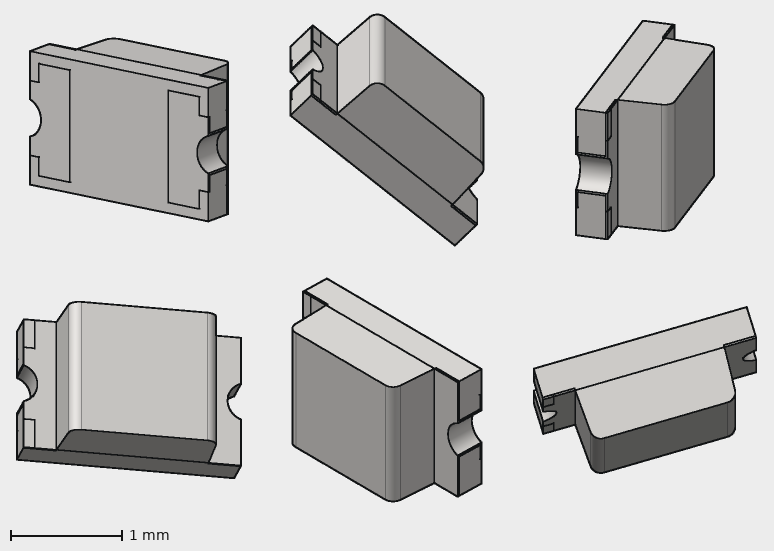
import cadquery as cq
import math

length = 2.0
height = 1.25
depth = 0.8
front_y = -depth / 2
half_length = length / 2

board_thickness = 0.3
board_back_y = front_y + board_thickness
lens_base_width = 1.4
lens_depth = depth - board_thickness
lens_draft = 3.0
lens_radius = 0.1

plating = 0.02
pad_margin = 0.1
pad_reach = 0.45
pad_height = height - 2 * pad_margin
pad_tab_height = 0.7
plate_width = (length - lens_base_width) / 2
notch_chord = 0.35
notch_depth = 0.125
notch_radius = (notch_chord**2 / 4 + notch_depth**2) / (2 * notch_depth)
notch_center_x = half_length - notch_depth + notch_radius

mark_width = 0.1
mark_height = (height - pad_tab_height) / 2


def block(x_start, x_end, y_start, y_end, z_height, z_center=0.0):
    """Box between two X and two Y positions, centered on z_center."""
    return (
        cq.Workplane("XY")
        .box(x_end - x_start, y_end - y_start, z_height)
        .translate(((x_start + x_end) / 2, (y_start + y_end) / 2, z_center))
    )


def notch_cylinder(radius):
    """Cylinder along Y around the axis of the +X end notch."""
    return (
        cq.Workplane("XZ", origin=(notch_center_x, board_back_y, 0))
        .circle(radius)
        .extrude(board_thickness)
    )


def make_board_blank():
    return block(-half_length, half_length, front_y, board_back_y, height)


def make_terminal():
    """Complete terminal at the +X end, before any marks are let into it."""
    pad_back_y = front_y + plating
    pad = block(half_length - pad_reach, half_length - pad_margin, front_y, pad_back_y, pad_height)
    tab = block(half_length - pad_margin, half_length, front_y, pad_back_y, pad_tab_height)
    plate_front_y = board_back_y - plating
    plate = block(half_length - plate_width, half_length, plate_front_y, board_back_y, height)
    sleeve = notch_cylinder(notch_radius + plating).intersect(make_board_blank())
    return pad.union(tab).union(plate).union(sleeve).cut(notch_cylinder(notch_radius))


def make_mark(side):
    """Corner mark at the top (side = 1) or bottom (side = -1) of the back plate."""
    return block(
        half_length - mark_width,
        half_length,
        board_back_y - plating,
        board_back_y,
        mark_height,
        side * (height - mark_height) / 2,
    )


def make_lens():
    """Drafted block with its two outer long edges rounded."""
    half_base = lens_base_width / 2
    half_top = half_base - lens_depth * math.tan(math.radians(lens_draft))
    outer_y = board_back_y + lens_depth
    return (
        cq.Workplane("XY", origin=(0, 0, -height / 2))
        .polyline(
            [
                (-half_base, board_back_y),
                (half_base, board_back_y),
                (half_top, outer_y),
                (-half_top, outer_y),
            ]
        )
        .close()
        .extrude(height)
        .edges("|Z and >Y")
        .fillet(lens_radius)
    )


full_terminal = make_terminal()
marks = [make_mark(side) for side in (-1, 1)]
lens = make_lens()

terminals = [full_terminal.mirror("YZ"), full_terminal]
for mark in marks:
    terminals[1] = terminals[1].cut(mark)

right_notch = notch_cylinder(notch_radius)
substrate = make_board_blank().cut(right_notch).cut(right_notch.mirror("YZ"))
for inset in terminals + marks:
    substrate = substrate.cut(inset)

bodies = [substrate, lens] + terminals + marks
result = cq.Compound.makeCompound([body.solids().val() for body in bodies])